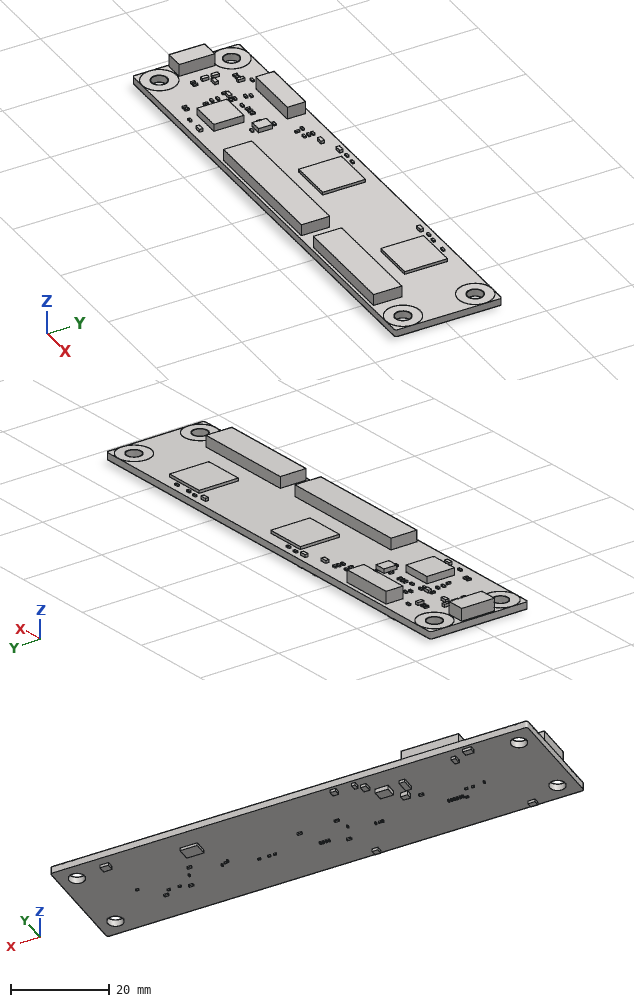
import cadquery as cq

BOARD_LENGTH = 110.0
BOARD_WIDTH = 25.0
BOARD_THICKNESS = 1.6
CORNER_RADIUS = 0.5

HOLE_DIAMETER = 3.5
PAD_CLEARANCE_DIAMETER = 3.7
PAD_DIAMETER = 8.0
PAD_THICKNESS = 0.04
PAD_EDGE_GAP = 0.02
HOLE_INSET = PAD_DIAMETER / 2 + PAD_EDGE_GAP
HOLE_SPACING_X = BOARD_LENGTH - 2 * HOLE_INSET
HOLE_SPACING_Y = BOARD_WIDTH - 2 * HOLE_INSET

PORT_LENGTH = 4.3
PORT_WIDTH = 8.4
PORT_SETBACK = 0.4
HEADER_LENGTH = 13.2
HEADER_WIDTH = 4.3
HEADER_CENTRE = (-32.0, 9.4)
TALL_HEIGHT = 2.9
LONG_SOCKET_LENGTH = 32.6
SHORT_SOCKET_LENGTH = 25.2
SOCKET_WIDTH = 6.6
SOCKET_HEIGHT = 2.6
LONG_SOCKET_CENTRE = (-1.9, -8.5)
SHORT_SOCKET_CENTRE = (32.0, -8.5)

CONTROLLER_SIDE = 7.0
CONTROLLER_HEIGHT = 1.6
CONTROLLER_CENTRE = (-32.2, -4.6)
MEMORY_SIDE = 10.0
MEMORY_HEIGHT = 0.7
MEMORY_CENTRES = [(-1.9, 4.5), (32.5, 4.5)]
REGULATOR_LENGTH = 2.6
REGULATOR_WIDTH = 3.3
REGULATOR_HEIGHT = 1.0
REGULATOR_CENTRE = (-25.1, 1.2)

TINY = (0.6, 0.3, 0.3)
SMALL = (1.0, 0.5, 0.3)
MEDIUM = (1.5, 0.8, 0.7)

LOW_HEIGHT = 0.7
INDUCTOR_HEIGHT = 1.0

TOP_SMALL_ALONG_X = [
    (-41.6, 8.0), (-36.5, 5.0), (-36.8, 3.8), (-37.2, 1.5), (-37.2, 0.5), (-34.2, 1.5), (-38.8, -1.5),
    (-38.8, -3.0), (-34.5, -10.5), (-25.0, 3.8), (-25.0, -1.3), (-20.6, 8.0), (-17.9, 9.0), (-17.9, 8.0),
    (-17.9, 6.9), (-7.3, 11.0), (-4.6, 10.8), (27.0, 11.0), (29.3, 10.8), (33.2, 10.8),
]
TOP_SMALL_ALONG_Y = [
    (-44.9, 5.9), (-43.9, 5.9), (-46.6, -3.0), (-45.6, -3.0), (-40.0, 0.7), (-32.6, 2.0), (-31.6, 2.0),
    (-30.6, 2.0), (-38.4, -4.6), (-39.4, -9.0), (-38.4, -9.0), (-27.3, 1.6), (-20.1, 6.6),
]
TOP_MEDIUM_ALONG_X = [
    (-44.7, 1.0), (-38.8, 1.0), (-30.6, -10.5), (-14.6, 9.0), (-9.8, 10.7), (24.3, 10.5),
]
TOP_MEDIUM_ALONG_Y = [(-42.7, 5.9), (-46.6, 2.2), (-46.6, -0.2)]

UNDER_TINY_ALONG_X = [
    (-35.6, -0.5), (-34.1, -0.5), (-32.9, -3.2), (-13.1, -2.6), (11.1, -2.6), (12.4, -2.6), (14.7, -2.6),
    (21.5, -0.5), (33.5, -3.5), (36.1, -3.5), (41.8, -0.5),
]
UNDER_TINY_ALONG_Y = [
    (-38.4, -0.2), (-13.8, -2.6), (-12.1, -2.6), (-6.5, -1.0), (20.8, -0.2), (22.4, -1.0), (30.0, -1.0),
]
UNDER_SMALL_ALONG_X = [
    (-25.0, 1.9), (-5.5, 1.9), (-4.7, -5.0), (3.3, 1.4), (28.7, 1.4), (31.4, -4.3), (37.4, -5.0),
]
TINY_ROW_PITCH = 0.7
TINY_ROWS = [(-32.2, -2.6, 6), (-0.9, -3.5, 4)]

UNDER_LOW_BODIES = [
    (-43.9, -11.1, 1.6, 1.3), (-40.7, 11.1, 2.0, 1.3), (-36.8, 9.6, 1.0, 1.6), (-23.8, 6.6, 1.3, 3.0),
    (-16.1, 9.6, 1.3, 1.6), (-14.5, 11.1, 0.8, 1.3), (-9.8, 11.1, 1.3, 1.3), (-7.8, -11.1, 1.3, 1.3),
    (25.4, 6.6, 4.0, 3.0), (43.7, 9.6, 2.0, 1.6),
]
UNDER_INDUCTORS = [(-18.9, 6.6, 3.0, 2.3), (-22.2, 3.5, 1.6, 1.3)]


def block(x, y, length, width, height, underside=False):
    """A rectangular body standing on the top face, or hanging from the underside."""
    base = -height if underside else BOARD_THICKNESS
    return cq.Workplane("XY", origin=(x, y, base)).rect(length, width).extrude(height).val()


def chip_group(centres, body, along_y=False, underside=False):
    """Equal bodies at the given centres."""
    length, width, height = body
    if along_y:
        length, width = width, length
    return [block(x, y, length, width, height, underside) for x, y in centres]


def make_board():
    return (
        cq.Workplane("XY")
        .rect(BOARD_LENGTH, BOARD_WIDTH)
        .extrude(BOARD_THICKNESS)
        .edges("|Z")
        .fillet(CORNER_RADIUS)
        .faces(">Z")
        .workplane()
        .rect(HOLE_SPACING_X, HOLE_SPACING_Y, forConstruction=True)
        .vertices()
        .hole(HOLE_DIAMETER)
    )


def make_pads():
    """Raised copper rings around the screw holes."""
    pads = (
        cq.Workplane("XY", origin=(0, 0, BOARD_THICKNESS))
        .rect(HOLE_SPACING_X, HOLE_SPACING_Y, forConstruction=True)
        .vertices()
        .circle(PAD_DIAMETER / 2)
        .circle(PAD_CLEARANCE_DIAMETER / 2)
        .extrude(PAD_THICKNESS)
    )
    return pads.vals()


def make_connectors():
    port_x = -BOARD_LENGTH / 2 + PORT_SETBACK + PORT_LENGTH / 2
    return [
        block(port_x, 0, PORT_LENGTH, PORT_WIDTH, TALL_HEIGHT),
        block(*HEADER_CENTRE, HEADER_LENGTH, HEADER_WIDTH, TALL_HEIGHT),
        block(*LONG_SOCKET_CENTRE, LONG_SOCKET_LENGTH, SOCKET_WIDTH, SOCKET_HEIGHT),
        block(*SHORT_SOCKET_CENTRE, SHORT_SOCKET_LENGTH, SOCKET_WIDTH, SOCKET_HEIGHT),
    ]


def make_integrated_circuits():
    memory_body = (MEMORY_SIDE, MEMORY_SIDE, MEMORY_HEIGHT)
    return [
        block(*CONTROLLER_CENTRE, CONTROLLER_SIDE, CONTROLLER_SIDE, CONTROLLER_HEIGHT),
        block(*REGULATOR_CENTRE, REGULATOR_LENGTH, REGULATOR_WIDTH, REGULATOR_HEIGHT),
    ] + chip_group(MEMORY_CENTRES, memory_body)


def make_top_chips():
    return (
        chip_group(TOP_SMALL_ALONG_X, SMALL)
        + chip_group(TOP_SMALL_ALONG_Y, SMALL, along_y=True)
        + chip_group(TOP_MEDIUM_ALONG_X, MEDIUM)
        + chip_group(TOP_MEDIUM_ALONG_Y, MEDIUM, along_y=True)
    )


def make_underside_parts():
    row_centres = [
        (first_x + i * TINY_ROW_PITCH, y)
        for first_x, y, count in TINY_ROWS
        for i in range(count)
    ]
    parts = chip_group(UNDER_TINY_ALONG_X, TINY, underside=True)
    parts += chip_group(UNDER_TINY_ALONG_Y + row_centres, TINY, along_y=True, underside=True)
    parts += chip_group(UNDER_SMALL_ALONG_X, SMALL, underside=True)
    parts += [block(*body, LOW_HEIGHT, underside=True) for body in UNDER_LOW_BODIES]
    parts += [block(*body, INDUCTOR_HEIGHT, underside=True) for body in UNDER_INDUCTORS]
    return parts


attached_parts = (
    make_pads()
    + make_connectors()
    + make_integrated_circuits()
    + make_top_chips()
    + make_underside_parts()
)
result = cq.Workplane(make_board().val().fuse(*attached_parts))